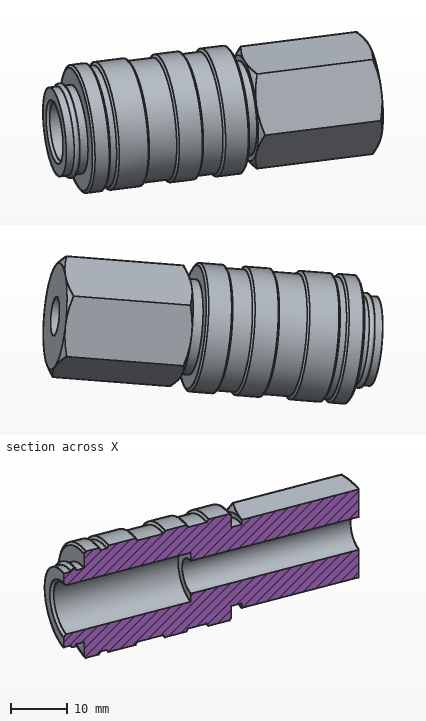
import cadquery as cq
import math

length = 58.0

hex_flats = 19.0
hex_length = 23.0
hex_chamfer_angle = 30.0

sleeve_radius = 11.515
groove_radius = 10.95
edge_chamfer = 0.35
end_radius = 11.0
sleeve_front = 4.0
sleeve_back = 32.95
grooves = [(7.3, 8.45), (14.5, 19.55), (24.5, 28.1)]

neck_radius = 8.5
nose_radius = 8.0
bead_position = 2.0
bead_radius = neck_radius - nose_radius

through_radius = 3.5
socket_radius = 5.2
socket_depth = 24.95
mouth_chamfer = 0.5

hex_start = length - hex_length
hex_apothem = hex_flats / 2
hex_corner_radius = hex_apothem / math.cos(math.radians(30))
hex_chamfer = (hex_corner_radius - hex_apothem) * math.tan(math.radians(hex_chamfer_angle))


def revolve_profile(profile):
    """Close an (x = radius, y = position) profile and turn it about the Y axis."""
    return profile.close().revolve(360, (0, 0, 0), (0, 1, 0))


def make_hexagon():
    """Hexagon with corners on +X and -X, both ends turned down to the flats."""
    prism = (
        cq.Workplane("XZ", origin=(0, length, 0))
        .polygon(6, 2 * hex_corner_radius)
        .extrude(hex_length)
    )
    envelope = revolve_profile(
        cq.Workplane("XY").polyline([
            (0, hex_start),
            (hex_apothem, hex_start),
            (hex_corner_radius, hex_start + hex_chamfer),
            (hex_corner_radius, length - hex_chamfer),
            (hex_apothem, length),
            (0, length),
        ])
    )
    return prism.intersect(envelope)


def make_sleeve():
    """Sleeve with chamfered ends and grooves with sloping walls."""
    points = [
        (0, sleeve_front),
        (end_radius, sleeve_front),
        (sleeve_radius, sleeve_front + edge_chamfer),
    ]
    for start, end in grooves:
        points += [
            (sleeve_radius, start - edge_chamfer),
            (groove_radius, start),
            (groove_radius, end),
            (sleeve_radius, end + edge_chamfer),
        ]
    points += [
        (sleeve_radius, sleeve_back - edge_chamfer),
        (end_radius, sleeve_back),
        (0, sleeve_back),
    ]
    return revolve_profile(cq.Workplane("XY").polyline(points))


def make_nose():
    """Plain nose carrying a half-round bead."""
    return revolve_profile(
        cq.Workplane("XY")
        .lineTo(nose_radius, 0)
        .lineTo(nose_radius, bead_position - bead_radius)
        .threePointArc(
            (nose_radius + bead_radius, bead_position),
            (nose_radius, bead_position + bead_radius),
        )
        .lineTo(nose_radius, sleeve_front)
        .lineTo(0, sleeve_front)
    )


def make_neck():
    """Plain neck joining the sleeve to the hexagon."""
    neck_length = hex_start - sleeve_back
    return cq.Workplane("XZ", origin=(0, hex_start, 0)).circle(neck_radius).extrude(neck_length)


def make_bore():
    """Chamfered socket narrowing to the through passage."""
    return revolve_profile(
        cq.Workplane("XY").polyline([
            (0, 0),
            (socket_radius + mouth_chamfer, 0),
            (socket_radius, mouth_chamfer),
            (socket_radius, socket_depth),
            (through_radius, socket_depth),
            (through_radius, length),
            (0, length),
        ])
    )


body = make_hexagon().union(make_neck()).union(make_sleeve()).union(make_nose())
result = body.cut(make_bore())